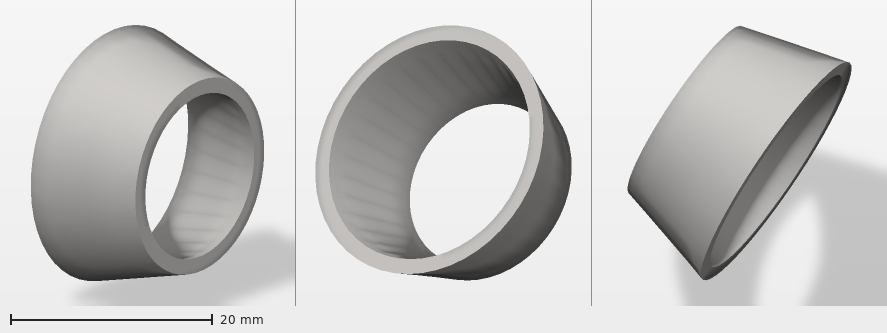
import cadquery as cq

length = 11.0
wide_outer_diameter = 26.0
narrow_outer_diameter = 20.02
wide_inner_diameter = 22.88
narrow_inner_diameter = 16.9


def cone_frustum(start_diameter, end_diameter):
    """Solid frustum from X = 0 to X = length."""
    return cq.Workplane("XY").add(
        cq.Solid.makeCone(
            start_diameter / 2,
            end_diameter / 2,
            length,
            pnt=cq.Vector(0, 0, 0),
            dir=cq.Vector(1, 0, 0),
        )
    )


outer_body = cone_frustum(wide_outer_diameter, narrow_outer_diameter)
tapered_bore = cone_frustum(wide_inner_diameter, narrow_inner_diameter)

result = outer_body.cut(tapered_bore)